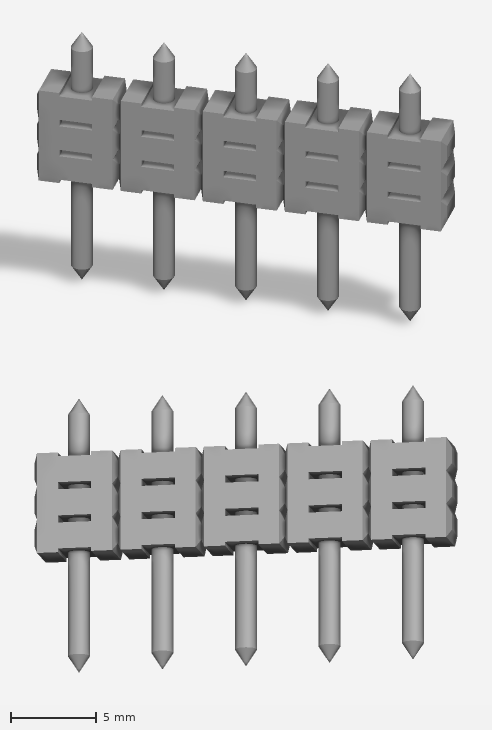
import cadquery as cq

pin_count = 5
pitch = 5.0
row_length = pin_count * pitch

body_depth = 2.8
body_height = 6.0
pad_rise = 0.25
core_width = pitch - 2 * pad_rise
pads_per_side = 3
pad_height = body_height / pads_per_side
pad_inset = 0.52

relief_width = 2.0
groove_depth = 0.22
slot_height = 0.42

pin_diameter = 1.3
pin_radius = pin_diameter / 2
pin_above = 3.5
pin_below = 7.0
tip_length = 1.0

body_top = body_height / 2
body_bottom = -body_height / 2


def make_pad(side, z):
    """Tapered pad on one side of a housing: side is +1 for +X, -1 for -X."""
    base_plane = cq.Plane(
        origin=(side * core_width / 2, 0, z), xDir=(0, 1, 0), normal=(side, 0, 0)
    )
    return (
        cq.Workplane(base_plane)
        .rect(body_depth, pad_height)
        .workplane(offset=pad_rise)
        .rect(body_depth - 2 * pad_inset, pad_height - 2 * pad_inset)
        .loft(combine=True)
    )


def make_relief(z, height):
    """Cutter that runs through the full housing depth, centred at height z."""
    return cq.Workplane("XY").box(relief_width, body_depth, height).translate((0, 0, z))


def make_housing():
    """Housing block with its side pads, end grooves and cross slots."""
    housing = cq.Workplane("XY").box(core_width, body_depth, body_height)
    for index in range(pads_per_side):
        pad_z = body_bottom + (index + 0.5) * pad_height
        for side in (-1, 1):
            housing = housing.union(make_pad(side, pad_z))

    for face_z in (body_bottom, body_top):
        housing = housing.cut(make_relief(face_z, 2 * groove_depth))

    for joint in range(1, pads_per_side):
        joint_z = body_bottom + joint * pad_height
        housing = housing.cut(make_relief(joint_z, slot_height))
    return housing


def make_pin():
    """Round pin with a conical point at both ends."""
    upper_tip = body_top + pin_above
    lower_tip = body_bottom - pin_below
    return (
        cq.Workplane("XZ")
        .moveTo(0, lower_tip)
        .lineTo(pin_radius, lower_tip + tip_length)
        .lineTo(pin_radius, upper_tip - tip_length)
        .lineTo(0, upper_tip)
        .close()
        .revolve(360, (0, 0, 0), (0, 1, 0))
    )


position = make_housing().union(make_pin())
first_x = (pitch - row_length) / 2
result = position.translate((first_x, 0, 0))
for index in range(1, pin_count):
    result = result.union(position.translate((first_x + index * pitch, 0, 0)))